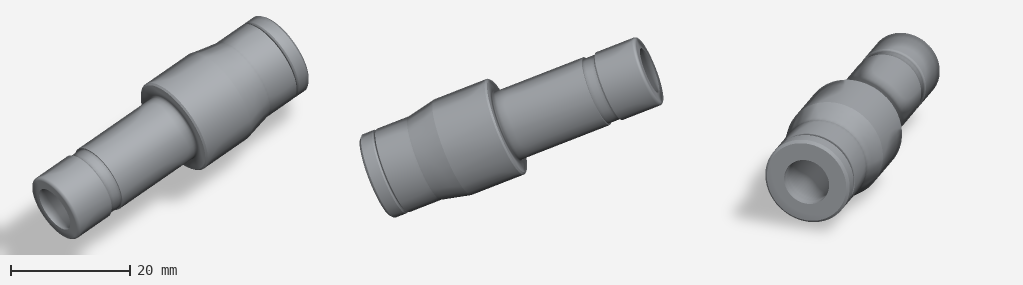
import cadquery as cq

length = 50.0
back = length / 2
front = -length / 2

body_radius = 8.6
sleeve_radius = 7.5
collar_groove_radius = 6.6
stem_radius = 6.1
stem_groove_radius = 5.8
bore_radius = 4.0

collar_end = back - 2.75
sleeve_start = back - 3.05
sleeve_end = back - 8.9
body_start = back - 14.0
body_end = back - 23.9
stem_groove_start = back - 40.3
stem_groove_end = back - 42.35

collar_back_chamfer = 0.45
collar_front_chamfer = 0.25
body_chamfer = 0.3
root_fillet = 0.25
stem_groove_chamfer = stem_radius - stem_groove_radius
stem_tip_fillet = 0.5


def ring(radius, start, end):
    """Solid cylinder on the Y axis running forward from start to end."""
    return cq.Workplane("XZ", origin=(0, start, 0)).circle(radius).extrude(start - end)


collar = ring(sleeve_radius, back, collar_end)
collar = collar.faces(">Y").chamfer(collar_back_chamfer)
collar = collar.faces("<Y").chamfer(collar_front_chamfer)
collar_groove = ring(collar_groove_radius, collar_end, sleeve_start)

sleeve = ring(sleeve_radius, sleeve_start, sleeve_end)
taper = (
    cq.Workplane("XZ", origin=(0, sleeve_end, 0))
    .circle(sleeve_radius)
    .workplane(offset=sleeve_end - body_start)
    .circle(body_radius)
    .loft(ruled=True)
)
body = ring(body_radius, body_start, body_end).faces("<Y").chamfer(body_chamfer)

stem = (
    cq.Workplane("XY")
    .moveTo(0, body_end)
    .lineTo(stem_radius + root_fillet, body_end)
    .radiusArc((stem_radius, body_end - root_fillet), -root_fillet)
    .lineTo(stem_radius, stem_groove_start)
    .lineTo(stem_groove_radius, stem_groove_start)
    .lineTo(stem_groove_radius, stem_groove_end)
    .lineTo(stem_radius, stem_groove_end - stem_groove_chamfer)
    .lineTo(stem_radius, front + stem_tip_fillet)
    .radiusArc((stem_radius - stem_tip_fillet, front), stem_tip_fillet)
    .lineTo(0, front)
    .close()
    .revolve(360, (0, 0, 0), (0, 1, 0))
)

result = collar
for section in (collar_groove, sleeve, taper, body, stem):
    result = result.union(section)
result = result.cut(ring(bore_radius, back, front))